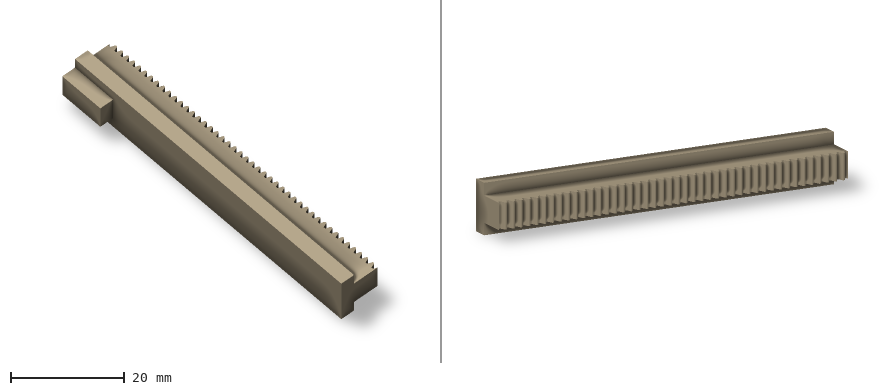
import cadquery as cq
import math

length = 70.0
total_depth = 11.8
flange_height = 9.6
body_height = 5.0
flange_thickness = 3.0
stub_depth = 3.0
stub_length = 10.0
body_depth = total_depth - stub_depth

pressure_angle = math.radians(20)
tooth_depth = 1.05
root_width = 0.4
tip_radius = 0.2
gap_count = 45
first_gap_center = 0.37
last_gap_to_end = 0.52
pitch = (length - first_gap_center - last_gap_to_end) / (gap_count - 1)


def block(x_size, y_start, y_size, z_size):
    """Block starting at the X = 0 end, centred on Z."""
    return (
        cq.Workplane("XY")
        .box(x_size, y_size, z_size, centered=(False, False, True))
        .translate((0, y_start, 0))
    )


def tooth_gap(center):
    """Groove between two teeth, flaring at the mouth to round the tooth tips."""
    root_y = total_depth - tooth_depth
    root_half = root_width / 2

    sweep = math.pi / 2 - pressure_angle
    tangent_length = tip_radius * math.tan(sweep / 2)
    corner_half = root_half + tooth_depth * math.tan(pressure_angle)
    mouth_half = corner_half + tangent_length
    arc_center_y = total_depth - tip_radius
    flank_end_half = mouth_half - tip_radius * math.sin(sweep)
    flank_end_y = arc_center_y + tip_radius * math.cos(sweep)
    middle_half = mouth_half - tip_radius * math.sin(sweep / 2)
    middle_y = arc_center_y + tip_radius * math.cos(sweep / 2)

    return (
        cq.Workplane("XY", origin=(center, 0, -body_height / 2))
        .moveTo(-root_half, root_y)
        .lineTo(root_half, root_y)
        .lineTo(flank_end_half, flank_end_y)
        .threePointArc((middle_half, middle_y), (mouth_half, total_depth))
        .lineTo(-mouth_half, total_depth)
        .threePointArc((-middle_half, middle_y), (-flank_end_half, flank_end_y))
        .close()
        .extrude(body_height)
    )


body = block(length, stub_depth, body_depth, body_height)
flange = block(length, stub_depth, flange_thickness, flange_height)
stub = block(stub_length, 0, stub_depth, body_height)

for index in range(gap_count):
    body = body.cut(tooth_gap(first_gap_center + index * pitch))

result = body.union(flange).union(stub)